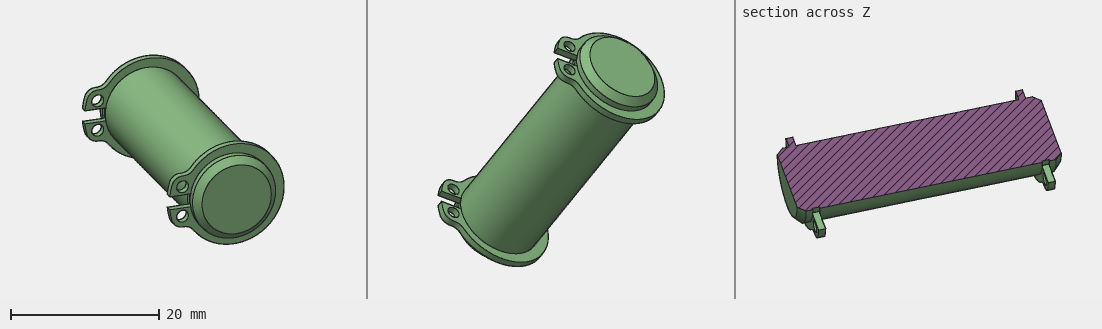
import cadquery as cq
import math

pin_length = 37.0
pin_radius = 6.0
end_chamfer = 1.0

groove_depth = 0.25
groove_radius = pin_radius - groove_depth
ring_thickness = 1.0
ring_inset = 1.92
ring_radius = 7.3
ring_offset = 0.3

ear_y = -7.05
ear_z = 2.15
ear_radius = 1.6
ear_fillet = 1.7
ear_hole_diameter = 1.7
gap_width = 1.9


def point_on_circle(center, radius, angle):
    return (center[0] + radius * math.cos(angle), center[1] + radius * math.sin(angle))


def direction(start, end):
    return math.atan2(end[1] - start[1], end[0] - start[0])


def arc_points(center, radius, start_angle, end_angle):
    """Middle and end points of an arc."""
    middle = point_on_circle(center, radius, (start_angle + end_angle) / 2)
    return middle, point_on_circle(center, radius, end_angle)


def ring_half_profile(plane):
    """Upper half of the ring outline, with one ear above the open gap."""
    rim = (ring_offset, 0.0)
    ear = (ear_y, ear_z)

    rim_reach = ring_radius + ear_fillet
    ear_reach = ear_radius + ear_fillet
    spacing = math.dist(rim, ear)
    rim_corner = math.acos((rim_reach**2 + spacing**2 - ear_reach**2) / (2 * rim_reach * spacing))
    rim_angle = direction(rim, ear) - rim_corner
    fillet = point_on_circle(rim, rim_reach, rim_angle)

    ear_start = direction(ear, fillet)
    ear_end = direction(rim, ear)
    flank_radius = spacing + ear_radius
    tip_height = gap_width / 2
    flank_end = math.pi - math.asin(tip_height / flank_radius)
    fillet_start = direction(fillet, rim)
    fillet_end = direction(fillet, ear)

    return (
        plane.moveTo(ring_offset + ring_radius, 0)
        .threePointArc(*arc_points(rim, ring_radius, 0, rim_angle))
        .threePointArc(*arc_points(fillet, ear_fillet, fillet_start, fillet_end))
        .threePointArc(*arc_points(ear, ear_radius, ear_start, ear_end))
        .threePointArc(*arc_points(rim, flank_radius, ear_end, flank_end))
        .lineTo(ring_offset, tip_height)
        .lineTo(ring_offset, 0)
        .close()
    )


def retaining_ring(start_x):
    plane = cq.Workplane("YZ", origin=(start_x, 0, 0))
    half = ring_half_profile(plane).extrude(ring_thickness)
    ring = half.union(half.mirror("XY"))
    holes = (
        plane.pushPoints([(ear_y, ear_z), (ear_y, -ear_z)])
        .circle(ear_hole_diameter / 2)
        .extrude(ring_thickness)
    )
    bore = plane.circle(groove_radius).extrude(ring_thickness)
    return ring.cut(holes).cut(bore)


def groove(start_x):
    return (
        cq.Workplane("YZ", origin=(start_x, 0, 0))
        .circle(pin_radius)
        .circle(groove_radius)
        .extrude(ring_thickness)
    )


result = (
    cq.Workplane("YZ", origin=(-pin_length / 2, 0, 0))
    .circle(pin_radius)
    .extrude(pin_length)
    .faces("<X or >X")
    .chamfer(end_chamfer)
)

left_ring_x = -pin_length / 2 + ring_inset
right_ring_x = pin_length / 2 - ring_inset - ring_thickness
for ring_x in (left_ring_x, right_ring_x):
    result = result.cut(groove(ring_x)).union(retaining_ring(ring_x))